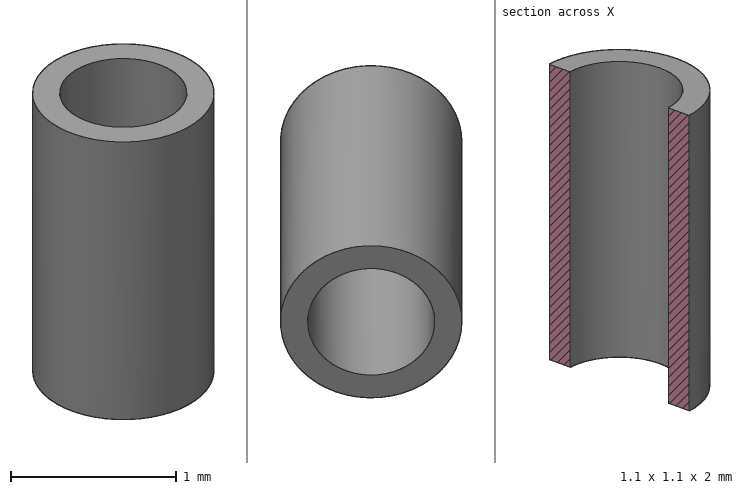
import cadquery as cq

outer_diameter = 1.1
inner_diameter = 0.77
length = 2.0

result = (
    cq.Workplane("XY")
    .circle(outer_diameter / 2)
    .circle(inner_diameter / 2)
    .extrude(length)
)